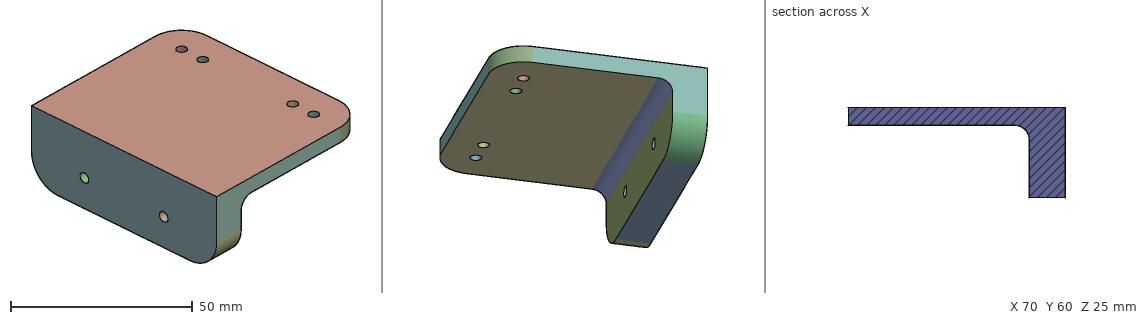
import cadquery as cq

width = 70.0
depth = 60.0
height = 25.0

plate_thickness = 5.0
wall_thickness = 10.0
inner_fillet = 4.0
corner_radius = 10.0

hole_diameter = 3.2
plate_hole_outer_x = 25.0
plate_hole_inner_x = 17.0
wall_hole_x = 15.0
hole_edge_distance = corner_radius


def plate():
    """Horizontal plate with its two back corners rounded; front face at Y = 0."""
    return (
        cq.Workplane("XY")
        .box(width, depth, plate_thickness, centered=(True, False, False))
        .translate((0, 0, height - plate_thickness))
        .edges("|Z and >Y")
        .fillet(corner_radius)
    )


def wall():
    """Upright front wall with its two bottom corners rounded."""
    return (
        cq.Workplane("XY")
        .box(width, wall_thickness, height, centered=(True, False, False))
        .edges("|Y and <Z")
        .fillet(corner_radius)
    )


def fillet_inner_corner(body):
    """Round the inside corner where the wall meets the plate underside."""
    corner = cq.selectors.NearestToPointSelector((0, wall_thickness, height - plate_thickness))
    return body.edges(corner).fillet(inner_fillet)


def plate_holes():
    """Two pairs of vertical holes along the back edge of the plate."""
    row_y = depth - hole_edge_distance
    offsets = (plate_hole_outer_x, plate_hole_inner_x)
    points = [(side * x, row_y) for side in (-1, 1) for x in offsets]
    return cq.Workplane("XY").pushPoints(points).circle(hole_diameter / 2).extrude(height)


def wall_holes():
    """Two holes running front to back through the wall."""
    points = [(side * wall_hole_x, hole_edge_distance) for side in (-1, 1)]
    return cq.Workplane("XZ").pushPoints(points).circle(hole_diameter / 2).extrude(-wall_thickness)


bracket = fillet_inner_corner(plate().union(wall()))
result = bracket.cut(plate_holes()).cut(wall_holes())